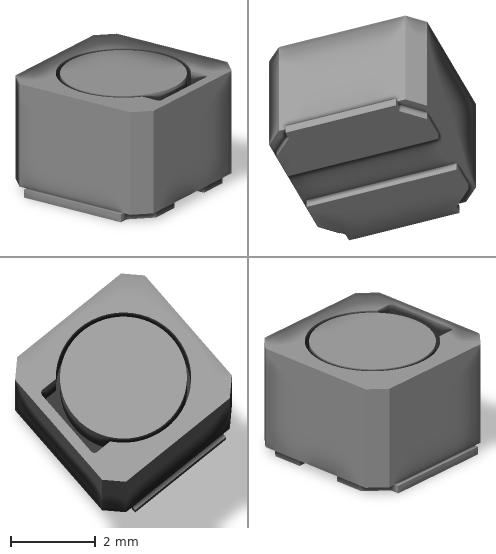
import cadquery as cq

HOUSING_WIDTH = 4.0
HOUSING_CHAMFER = 0.4
TOTAL_HEIGHT = 2.8

TERMINAL_SPAN = 4.2
TERMINAL_THICKNESS = 0.2
TERMINAL_WIDTH = 3.8
TERMINAL_TAB_WIDTH = 2.8
TERMINAL_INNER_GAP = 1.2
TERMINAL_SHOULDER_Y = 1.37
HOUSING_HEIGHT = TOTAL_HEIGHT - TERMINAL_THICKNESS

CORE_DIAMETER = 3.0
GROOVE_WIDTH = 0.1
GROOVE_DIAMETER = CORE_DIAMETER + 2 * GROOVE_WIDTH
GROOVE_DEPTH = 1.0
POCKET_WIDTH = 2.0
POCKET_END_X = 1.75
POCKET_CORNER_RADIUS = 0.1

MARK_DIAMETER = 0.6
MARK_CENTER_Y = 1.1
MARK_DEPTH = 0.04


def make_groove():
    """Ring and side pocket left open around the core."""
    floor = cq.Workplane("XY").workplane(offset=TOTAL_HEIGHT - GROOVE_DEPTH)
    pocket = (
        floor.center(POCKET_END_X / 2, 0)
        .rect(POCKET_END_X, POCKET_WIDTH)
        .extrude(GROOVE_DEPTH)
        .edges("|Z and >X")
        .fillet(POCKET_CORNER_RADIUS)
    )
    core = floor.circle(CORE_DIAMETER / 2).extrude(GROOVE_DEPTH)
    return floor.circle(GROOVE_DIAMETER / 2).extrude(GROOVE_DEPTH).union(pocket).cut(core)


def make_mark():
    """Thin disc whose top is level with the core face."""
    return (
        cq.Workplane("XY")
        .workplane(offset=TOTAL_HEIGHT - MARK_DEPTH)
        .center(0, MARK_CENTER_Y)
        .circle(MARK_DIAMETER / 2)
        .extrude(MARK_DEPTH)
    )


def make_housing(mark):
    """Chamfered block with the groove and the recess that holds the mark."""
    block = (
        cq.Workplane("XY")
        .workplane(offset=TERMINAL_THICKNESS)
        .rect(HOUSING_WIDTH, HOUSING_WIDTH)
        .extrude(HOUSING_HEIGHT)
        .edges("|Z")
        .chamfer(HOUSING_CHAMFER)
    )
    return block.cut(make_groove()).cut(mark)


def make_terminal(side):
    """Terminal plate on the +Y (side=1) or -Y (side=-1) half."""
    half_width = TERMINAL_WIDTH / 2
    half_tab = TERMINAL_TAB_WIDTH / 2
    inner_y = side * TERMINAL_INNER_GAP / 2
    shoulder_y = side * TERMINAL_SHOULDER_Y
    tab_root_y = side * (TERMINAL_SHOULDER_Y + half_width - half_tab)
    tab_end_y = side * TERMINAL_SPAN / 2
    outline = [
        (-half_width, inner_y),
        (half_width, inner_y),
        (half_width, shoulder_y),
        (half_tab, tab_root_y),
        (half_tab, tab_end_y),
        (-half_tab, tab_end_y),
        (-half_tab, tab_root_y),
        (-half_width, shoulder_y),
    ]
    return cq.Workplane("XY").polyline(outline).close().extrude(TERMINAL_THICKNESS)


mark = make_mark()
housing = make_housing(mark)
terminals = [make_terminal(side) for side in (-1, 1)]

result = cq.Compound.makeCompound(
    [housing.solids().val(), mark.val(), *[terminal.val() for terminal in terminals]]
)